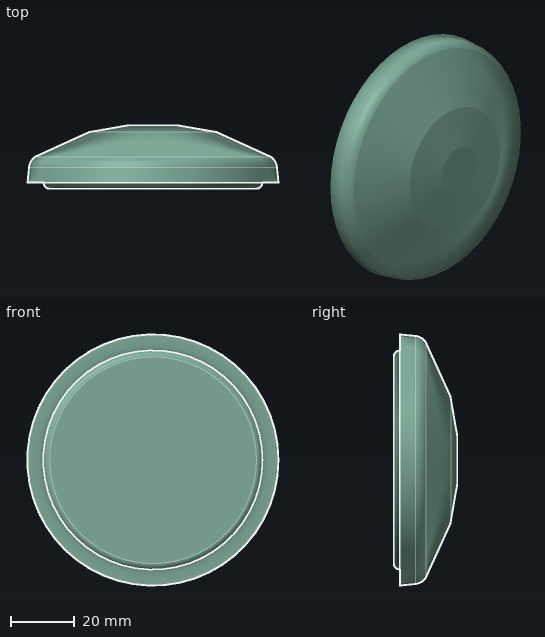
import cadquery as cq

total_depth = 20.0
rim_radius = 39.5

lip_radius = 34.45
lip_height = 2.0

rim_height = 4.75
rim_back_radius = 39.0

shoulder_depth = 3.3
shoulder_radius = 37.1

crown_radius = 20.0
crown_height = 2.1
flat_radius = 7.75

rim_back_y = lip_height + rim_height
shoulder_y = rim_back_y + shoulder_depth
crown_y = total_depth - crown_height

profile = (
    cq.Workplane("XY")
    .moveTo(0, 0)
    .lineTo(lip_radius - lip_height, 0)
    .radiusArc((lip_radius, lip_height), -lip_height)
    .lineTo(rim_radius, lip_height)
    .lineTo(rim_back_radius, rim_back_y)
    .tangentArcPoint((shoulder_radius, shoulder_y), relative=False)
    .lineTo(crown_radius, crown_y)
    .lineTo(flat_radius, total_depth)
    .lineTo(0, total_depth)
    .close()
)

result = profile.revolve(360, (0, 0, 0), (0, 1, 0))